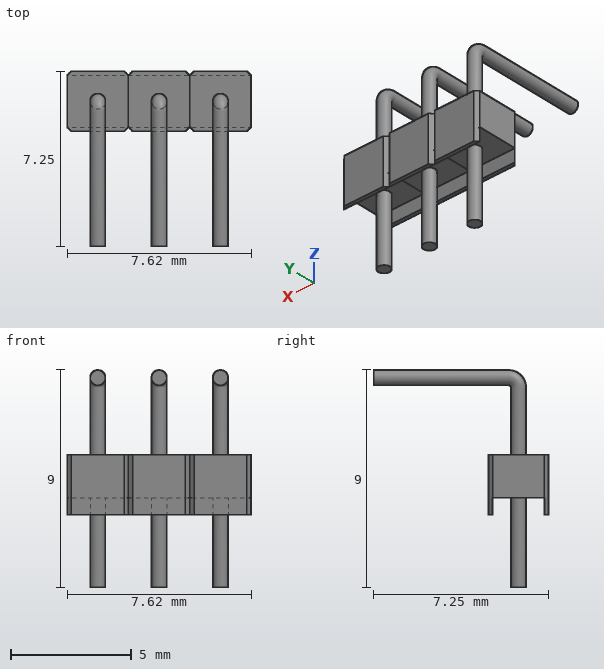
import cadquery as cq

TOTAL_LENGTH = 7.62
TOTAL_DEPTH = 7.25
TOTAL_HEIGHT = 9.0
UNIT_COUNT = 3
PITCH = TOTAL_LENGTH / UNIT_COUNT

BLOCK_DEPTH = 2.5
BLOCK_HEIGHT = 2.5
BLOCK_BOTTOM = 3.0
CORNER_CHAMFER = 0.18
WALL_THICKNESS = CORNER_CHAMFER
CHANNEL_HEIGHT = 0.7

PIN_DIAMETER = 0.64
PIN_RADIUS = PIN_DIAMETER / 2
BEND_OUTER_RADIUS = 0.73
BEND_RADIUS = BEND_OUTER_RADIUS - PIN_RADIUS
ARM_HEIGHT = TOTAL_HEIGHT - PIN_RADIUS
ARM_END = TOTAL_DEPTH - BLOCK_DEPTH / 2


def make_block():
    """Chamfered block with a channel along X across its underside."""
    block = (
        cq.Workplane("XY", origin=(0, 0, BLOCK_BOTTOM))
        .rect(PITCH, BLOCK_DEPTH)
        .extrude(BLOCK_HEIGHT)
        .edges("|Z")
        .chamfer(CORNER_CHAMFER)
    )
    channel = (
        cq.Workplane("XY", origin=(0, 0, BLOCK_BOTTOM))
        .rect(PITCH, BLOCK_DEPTH - 2 * WALL_THICKNESS)
        .extrude(CHANNEL_HEIGHT)
    )
    return block.cut(channel)


def make_pin():
    """Round bar swept up the block axis, around the bend and out along -Y."""
    bend_start = ARM_HEIGHT - BEND_RADIUS
    path = (
        cq.Workplane("YZ")
        .moveTo(0, 0)
        .lineTo(0, bend_start)
        .tangentArcPoint((-BEND_RADIUS, ARM_HEIGHT), relative=False)
        .lineTo(-ARM_END, ARM_HEIGHT)
    )
    return cq.Workplane("XY").circle(PIN_RADIUS).sweep(path)


def make_contact_unit(x_position):
    """One block and its pin as a single solid."""
    return make_block().union(make_pin()).translate((x_position, 0, 0))


contact_units = []
for index in range(UNIT_COUNT):
    x_position = (index - (UNIT_COUNT - 1) / 2) * PITCH
    contact_units.append(make_contact_unit(x_position).val())

result = cq.Compound.makeCompound(
    [solid for unit in contact_units for solid in unit.Solids()]
)